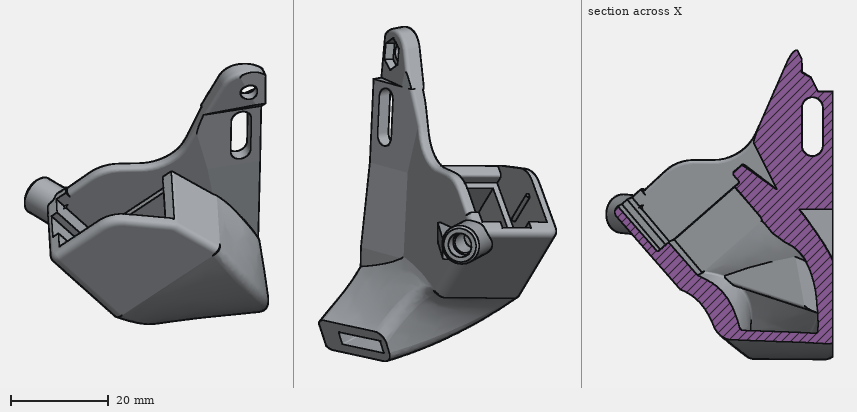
import cadquery as cq
import math

ACROSS = cq.Vector(1, -0.234, -0.117).normalized()
OPEN_Y = -0.645
OPEN_Z = 0.762
OPEN_X = -(ACROSS.y * OPEN_Y + ACROSS.z * OPEN_Z) / ACROSS.x
FAN = cq.Plane(origin=(0, 0, 0), xDir=ACROSS, normal=(OPEN_X, OPEN_Y, OPEN_Z))

BIG = 200.0

WALL_OUT = 12.3
WALL_IN = 14.8
SIDE_IN = 29.8
SIDE_OUT = 32.0
FRONT_OUT = -9.6
FRONT_IN = -8.0
REAR_IN = 13.3
REAR_OUT = 16.0
REAR_FOOT = 18.6
MID_U = (WALL_OUT + SIDE_OUT) / 2
MID_W = (FRONT_OUT + REAR_FOOT) / 2

RIM_T = 51.3
REAR_RIM_T = 41.4
LEDGE_T = 39.0
FOOT_T = 30.0
CORNER_W = 7.2
CORNER_ROUND = 7.0
REAR_ROUND = 3.0
SOCKET_ROUND = 2.0
RIM_ROUND = 1.4
REAR_RIM_ROUND = 0.6
ARM_WALL_W = -4.0

LEDGE = 1.4
PAD_DEPTH = 1.5
PAD_WIDTH = 4.2
PEG_DIA = 1.0
PEG_INSET = 0.2
PEG_W = 2.6
PEG_LENGTH = 8.0
PEG_TOP_T = 48.5

BEND_CENTER = (16.1, -11.5, 11.8)
BEND_ACROSS = (0.74, -0.1, -0.67)
BEND_ALONG = (0.1, 0.95, 0.3)
BEND_HEIGHT = 15.0
BEND_WIDTH = 25.5
BEND_ROUND = 2.4
NOZZLE_CENTER = (2.4, -9.0, 3.4)
NOZZLE_ACROSS = (0.36, 0.03, -0.93)
NOZZLE_ALONG = (-0.1, 1.0, 0.0)
NOZZLE_HEIGHT = 7.2
NOZZLE_WIDTH = 19.4
NOZZLE_ROUND = 2.5

PASSAGE_HEIGHT = 11.0
PASSAGE_WIDTH = 16.0
PASSAGE_ROUND = 0.5
MOUTH_CENTER = (2.4, -11.1, 3.3)
MOUTH_HEIGHT = 2.8
MOUTH_WIDTH = 11.8
MOUTH_ROUND = 0.2

ARM_TOP_Z = 65.55
ARM_FOOT_Y = -18.2
ARM_FOOT_Z = 8.0
ARM_LEAN = 0.437
VALLEY_Z = 40.9
VALLEY_ROUND = 9.5
HUMP_Y = -31.9
HUMP_ROUND = 8.6
WALL_TIP = (-41.5, 32.0)
WALL_HEEL = (-40.0, 29.0)
WALL_FOOT = (-29.0, 18.0)
ARM_ROUND = 0.8

SLAB_LEFT = [(11.6, ARM_FOOT_Z), (11.9, 20.0), (14.3, 37.5)]
SLAB_RIGHT = [(15.0, ARM_FOOT_Z), (17.4, 40.4), (18.2, 54.4)]
HEAD_Z = 54.9
HEAD_LEFT_FOOT = (15.3, HEAD_Z)
HEAD_LEFT_TOP = (15.95, ARM_TOP_Z)
HEAD_RIGHT_FOOT = (21.5, 57.2)
HEAD_RIGHT_TOP = (21.6, ARM_TOP_Z)
SLAB_EDGE = (15.1, -13.6, 51.5)

HEAD_OUT = 10.6
HEAD_IN = WALL_IN - 0.2
HEAD_ROUND = 5.1
HEAD_Y = -3.5
HOLE_Z = 60.5
HOLE_DIA = 3.5
NUT_FLATS = 5.8
NUT_CORNERS = NUT_FLATS / math.cos(math.pi / 6)
NUT_TURN = 49.0
NUT_DEPTH = 2.0
SLOT_WIDTH = 4.25
SLOT_LENGTH = 12.0
SLOT_Y = -4.2
SLOT_Z = 47.7

TUBE_DIA = 8.0
TUBE_LENGTH = 11.4
TUBE_CHAMFER = 0.5
TUBE_END = cq.Vector(1.78, -43.25, 29.9)
TUBE_AXIS = cq.Vector(0.86, 0.51, -0.05).normalized()
MOUTH_BORE_DIA = 5.0
MOUTH_BORE_DEPTH = 3.0
BORE_DIA = 4.25
BORE_DEPTH = 9.0
WEB_OUTLINE = [(0.5, -39.4), (9.2, -27.5), (12.5, -27.5), (10.0, -40.0), (3.0, -42.0)]
WEB_BOTTOM_Z = 26.5
WEB_THICKNESS = 4.1


def fan_point(u, w, t):
    """World position of a point of the fan frame."""
    return FAN.toWorldCoords((u, w, t)).toTuple()


def near_fan(u, w, t):
    """Selector for the edge nearest to a point of the fan frame."""
    return cq.selectors.NearestToPointSelector(fan_point(u, w, t))


def fan_box(u0, u1, w0, w1, t0, t1):
    """Box between the given limits of the fan frame."""
    base = cq.Workplane(FAN).workplane(offset=t0).center((u0 + u1) / 2, (w0 + w1) / 2)
    return base.rect(u1 - u0, w1 - w0).extrude(t1 - t0)


def fan_slab(u0, u1):
    """Unbounded slab between two planes facing along U."""
    return fan_box(u0, u1, -BIG, BIG, -BIG, BIG)


def along_y(points):
    """Prism along Y with an outline given as (X, Z) points."""
    return cq.Workplane("XZ").polyline(points).close().extrude(BIG / 2, both=True)


def duct_section(center, across, along, height, width, corner):
    """Rounded rectangular wire, its height along one direction and its width along the other."""
    across = cq.Vector(*across).normalized()
    normal = across.cross(cq.Vector(*along)).normalized()
    plane = cq.Plane(origin=center, xDir=across, normal=normal)
    outline = cq.Workplane("XY").sketch().rect(height, width).vertices().fillet(corner).finalize()
    face = outline.extrude(1).faces("<Z").val()
    return face.outerWire().moved(plane.location)


def loft_duct(foot, bend, end):
    """Smooth duct from the socket through the bend to the nozzle."""
    wires = [
        duct_section(foot[0], ACROSS.toTuple(), FAN.yDir.toTuple(), *foot[1:]),
        duct_section(BEND_CENTER, BEND_ACROSS, BEND_ALONG, *bend),
        duct_section(end[0], NOZZLE_ACROSS, NOZZLE_ALONG, *end[1:]),
    ]
    return cq.Workplane(cq.Solid.makeLoft(wires, False))


def make_duct():
    foot_center = fan_point(MID_U, MID_W, FOOT_T)
    return loft_duct(
        (foot_center, SIDE_OUT - WALL_OUT, REAR_FOOT - FRONT_OUT, SOCKET_ROUND),
        (BEND_HEIGHT, BEND_WIDTH, BEND_ROUND),
        (NOZZLE_CENTER, NOZZLE_HEIGHT, NOZZLE_WIDTH, NOZZLE_ROUND),
    )


def make_passage():
    """Air passage from the ledge of the socket to the nozzle mouth."""
    u0 = WALL_IN + LEDGE
    u1 = SIDE_IN - LEDGE
    w0 = FRONT_IN + PAD_DEPTH + LEDGE
    w1 = REAR_IN - LEDGE
    foot_center = fan_point((u0 + u1) / 2, (w0 + w1) / 2, FOOT_T)
    lower = loft_duct(
        (foot_center, u1 - u0, w1 - w0, PASSAGE_ROUND),
        (PASSAGE_HEIGHT, PASSAGE_WIDTH, PASSAGE_ROUND),
        (MOUTH_CENTER, MOUTH_HEIGHT, MOUTH_WIDTH, MOUTH_ROUND),
    )
    return lower.union(fan_box(u0, u1, w0, w1, FOOT_T, RIM_T))


def make_socket_body():
    """Outer block of the socket with rounded edges, open where the arm forms the wall."""
    side = cq.Plane(origin=ACROSS * WALL_OUT, xDir=FAN.yDir, normal=ACROSS)
    body = cq.Workplane(side).polyline([
        (FRONT_OUT, FOOT_T),
        (FRONT_OUT, RIM_T),
        (CORNER_W, RIM_T),
        (REAR_OUT, REAR_RIM_T),
        (REAR_FOOT, FOOT_T),
    ]).close().extrude(SIDE_OUT - WALL_OUT)
    body = body.edges(cq.selectors.ParallelDirSelector(FAN.zDir)).fillet(SOCKET_ROUND)
    body = body.edges(near_fan(MID_U, CORNER_W, RIM_T)).fillet(CORNER_ROUND)
    body = body.edges(near_fan(MID_U, REAR_OUT, REAR_RIM_T)).fillet(REAR_ROUND)
    body = body.edges(near_fan(SIDE_OUT, 0, RIM_T)).fillet(RIM_ROUND)
    return body.cut(fan_box(0, WALL_IN, ARM_WALL_W, BIG, REAR_RIM_T, BIG))


def make_socket_hollow():
    """Room for the fan outlet, with a lowered rear rim and two pads on the front wall."""
    hollow = fan_box(WALL_IN, SIDE_IN, FRONT_IN, REAR_IN, LEDGE_T, BIG)
    for u0 in (WALL_IN, SIDE_IN - PAD_WIDTH):
        pad = fan_box(u0, u0 + PAD_WIDTH, FRONT_IN, FRONT_IN + PAD_DEPTH, LEDGE_T, RIM_T)
        hollow = hollow.cut(pad)
    return hollow.union(fan_box(WALL_IN, SIDE_IN, FRONT_IN + PAD_DEPTH, BIG, REAR_RIM_T, BIG))


def make_peg():
    """Thin round rib on the inside of the right wall."""
    base = cq.Workplane(FAN).workplane(offset=PEG_TOP_T - PEG_LENGTH)
    return base.center(SIDE_IN - PEG_INSET, PEG_W).circle(PEG_DIA / 2).extrude(PEG_LENGTH)


def arm_outline():
    """Prism along X with the side outline of the arm and the socket wall."""
    head_back = HEAD_Y + HEAD_ROUND
    head_front = ARM_FOOT_Y + (ARM_TOP_Z - VALLEY_Z) * ARM_LEAN
    outline = cq.Workplane("YZ").polyline([
        (head_back, ARM_FOOT_Z),
        (head_back, ARM_TOP_Z),
        (head_front, ARM_TOP_Z),
        (ARM_FOOT_Y, VALLEY_Z),
        (HUMP_Y, VALLEY_Z),
        WALL_TIP,
        WALL_HEEL,
        WALL_FOOT,
    ]).close().extrude(BIG / 2, both=True)
    rounded_corners = [
        (head_back, ARM_TOP_Z, HEAD_ROUND),
        (head_front, ARM_TOP_Z, HEAD_ROUND),
        (ARM_FOOT_Y, VALLEY_Z, VALLEY_ROUND),
        (HUMP_Y, VALLEY_Z, HUMP_ROUND),
    ]
    for y, z, radius in rounded_corners:
        corner = cq.selectors.NearestToPointSelector((0, y, z))
        outline = outline.edges(corner).fillet(radius)
    return outline


def rounded_plate(u0, u1):
    """Plate with the arm outline and rounded rims, between two planes facing along U."""
    plate = arm_outline().intersect(fan_slab(u0, u1))
    for is_inner in (True, False):
        face = cq.selectors.DirectionMinMaxSelector(ACROSS, is_inner)
        plate = plate.faces(face).edges().fillet(ARM_ROUND)
    return plate


def make_arm():
    """Socket wall, upright mounting slab and thicker head, sharing one side outline."""
    far = BIG / 2
    slab_limit = along_y(SLAB_LEFT + [HEAD_LEFT_FOOT, (far, HEAD_Z), (far, ARM_FOOT_Z)])
    head_limit = along_y([HEAD_LEFT_FOOT, HEAD_LEFT_TOP, (far, ARM_TOP_Z), (far, HEAD_Z)])
    right_limit = along_y(
        SLAB_RIGHT + [HEAD_RIGHT_FOOT, HEAD_RIGHT_TOP, (-far, ARM_TOP_Z), (-far, ARM_FOOT_Z)]
    )
    slab = arm_outline().intersect(slab_limit).intersect(fan_slab(-BIG, WALL_IN - ARM_ROUND))
    slab = slab.edges(cq.selectors.NearestToPointSelector(SLAB_EDGE)).fillet(ARM_ROUND)
    head = rounded_plate(HEAD_OUT, HEAD_IN).intersect(head_limit)
    return rounded_plate(WALL_OUT, WALL_IN).union(slab).union(head).intersect(right_limit)


def make_arm_cuts():
    """Screw hole with a nut pocket in the head, and the adjusting slot below it."""
    head_x = (HEAD_OUT - ACROSS.y * HEAD_Y - ACROSS.z * HOLE_Z) / ACROSS.x
    head_plane = cq.Plane(origin=(head_x, HEAD_Y, HOLE_Z), xDir=FAN.yDir, normal=ACROSS)
    nut = cq.Workplane(head_plane).transformed(rotate=(0, 0, NUT_TURN))
    nut = nut.polygon(6, NUT_CORNERS).extrude(NUT_DEPTH)
    hole = cq.Workplane("YZ").center(HEAD_Y, HOLE_Z).circle(HOLE_DIA / 2).extrude(BIG)
    slot = cq.Workplane("YZ").center(SLOT_Y, SLOT_Z)
    slot = slot.slot2D(SLOT_LENGTH, SLOT_WIDTH, 90).extrude(BIG)
    return hole.union(nut).union(slot)


def tube_cylinder(diameter, length):
    """Cylinder on the tube axis, starting at the open end of the tube."""
    end = cq.Plane(origin=TUBE_END, xDir=(0, 0, 1), normal=TUBE_AXIS)
    return cq.Workplane(end).circle(diameter / 2).extrude(length)


def make_tube():
    """Tube with a chamfered end and a flat web running back along the wall."""
    tube = tube_cylinder(TUBE_DIA, TUBE_LENGTH)
    tube = tube.faces(cq.selectors.DirectionMinMaxSelector(TUBE_AXIS, False)).chamfer(TUBE_CHAMFER)
    web = cq.Workplane("XY").workplane(offset=WEB_BOTTOM_Z)
    return tube.union(web.polyline(WEB_OUTLINE).close().extrude(WEB_THICKNESS))


def make_bore():
    """Stepped blind bore of the tube."""
    return tube_cylinder(MOUTH_BORE_DIA, MOUTH_BORE_DEPTH).union(tube_cylinder(BORE_DIA, BORE_DEPTH))


hollow = make_socket_hollow()
socket = make_socket_body().cut(hollow)
socket = socket.edges(near_fan(MID_U, REAR_IN, REAR_RIM_T)).fillet(REAR_RIM_ROUND)
outside = make_duct().union(make_tube()).cut(hollow)
part = socket.union(outside).cut(make_passage()).union(make_arm())
part = part.cut(make_arm_cuts()).cut(make_bore()).union(make_peg())
beyond_back_plane = cq.Workplane("XZ").rect(BIG, BIG).extrude(-BIG)
result = part.cut(beyond_back_plane)